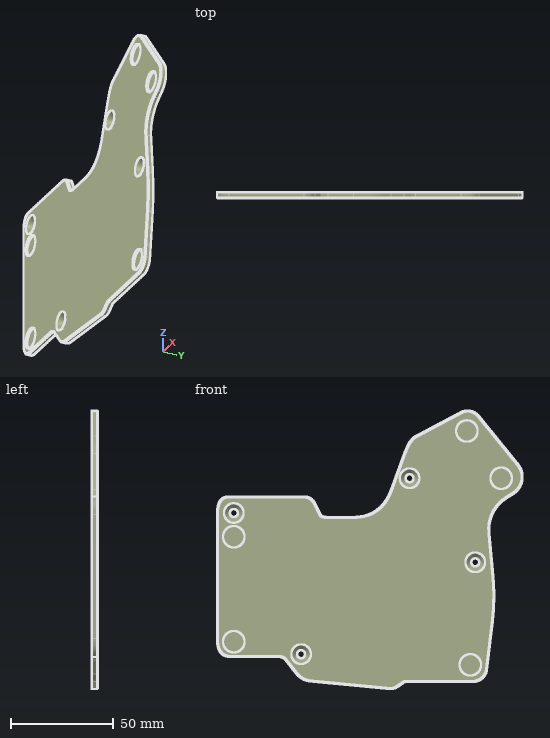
import cadquery as cq
import math

THICKNESS = 3.0
FRONT_CHAMFER = 0.5

TOP_EDGE_Z = 94.25
NOTCH_Z = 84.2
LOWER_LEFT_Z = 15.7
LOWER_RIGHT_Z = 3.5

OUTLINE_CORNERS = [
    (0.0, LOWER_LEFT_Z, (6.8, 9.1)),
    (0.0, TOP_EDGE_Z, (8.8, 6.0)),
    (46.3, TOP_EDGE_Z, 6.0),
    (51.3, NOTCH_Z, (1.0, 3.0)),
    (80.3, NOTCH_Z, (13.5, 14.2)),
    (94.05, 122.0, (7.2, 3.6)),
    (124.4, 138.08, 7.0),
    (154.25, 101.3, 9.7),
    (132.2, 87.5, 18.0),
    (136.25, 44.0, 100.0),
    (131.35, LOWER_RIGHT_Z, 7.0),
    (91.8, LOWER_RIGHT_Z, 2.0),
    (86.5, -0.15, 6.0),
    (41.5, 4.15, 10.0),
    (32.4, LOWER_LEFT_Z, 4.0),
]

SCREW_HOLE_DIAMETER = 3.8
COUNTERSINK_DIAMETER = 9.6
COUNTERSINK_ANGLE = 90.0
SCREW_CENTERS = [(8.3, 86.1), (41.2, 17.1), (94.2, 103.1), (126.3, 62.0)]

FOOT_DIAMETER = 10.5
FOOT_DEPTH = 1.0
FOOT_CENTERS = [(8.3, 74.5), (8.3, 23.2), (122.2, 126.2), (139.0, 103.1), (123.9, 11.9)]


def rounded_corner(before, corner, after):
    """Return the edge that rounds a corner, tangent to the edges from `before` and to `after`."""
    x, z, rounding = corner
    vertex = cq.Vector(x, z)
    to_before = (cq.Vector(before[0], before[1]) - vertex).normalized()
    to_after = (cq.Vector(after[0], after[1]) - vertex).normalized()
    if isinstance(rounding, tuple):
        setback_in, setback_out = rounding
        return cq.Edge.makeBezier([vertex + to_before * setback_in, vertex, vertex + to_after * setback_out])
    half_angle = to_before.getAngle(to_after) / 2
    setback = rounding / math.tan(half_angle)
    crown = rounding / math.sin(half_angle) - rounding
    middle = vertex + (to_before + to_after).normalized() * crown
    return cq.Edge.makeThreePointArc(vertex + to_before * setback, middle, vertex + to_after * setback)


def outline_wire():
    """Closed outline drawn in the XY plane, with outline Z as Y."""
    count = len(OUTLINE_CORNERS)
    roundings = [
        rounded_corner(OUTLINE_CORNERS[i - 1], OUTLINE_CORNERS[i], OUTLINE_CORNERS[(i + 1) % count])
        for i in range(count)
    ]
    edges = []
    for i, rounding in enumerate(roundings):
        edges.append(cq.Edge.makeLine(roundings[i - 1].endPoint(), rounding.startPoint()))
        edges.append(rounding)
    return cq.Wire.assembleEdges(edges)


def front_plane():
    """XZ workplane on the front face; its normal points to -Y."""
    return cq.Workplane("XZ")


def make_plate():
    upright_outline = outline_wire().rotate(cq.Vector(0, 0, 0), cq.Vector(1, 0, 0), 90)
    plate = cq.Workplane(cq.Solid.extrudeLinear(upright_outline, [], cq.Vector(0, THICKNESS, 0)))
    return plate.faces("<Y").chamfer(FRONT_CHAMFER)


def cut_screw_holes(plate):
    return (
        plate.faces("<Y")
        .workplane(origin=(0, 0, 0))
        .pushPoints(SCREW_CENTERS)
        .cskHole(SCREW_HOLE_DIAMETER, COUNTERSINK_DIAMETER, COUNTERSINK_ANGLE)
    )


def cut_foot_recesses(plate):
    recesses = front_plane().pushPoints(FOOT_CENTERS).circle(FOOT_DIAMETER / 2).extrude(-FOOT_DEPTH)
    return plate.cut(recesses)


result = cut_foot_recesses(cut_screw_holes(make_plate()))